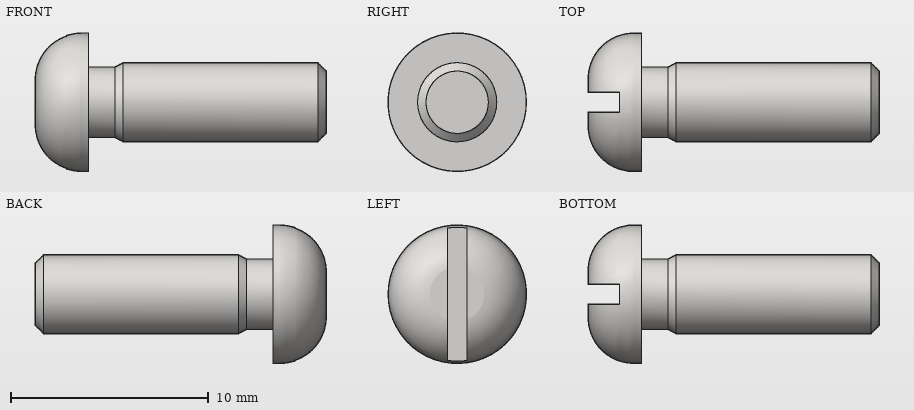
import cadquery as cq
import math

total_length = 14.72
head_diameter = 7.0
head_face_diameter = 2.74
head_height = 2.71
rim_thickness = 0.4
neck_diameter = 3.58
neck_end = 4.05
shank_start = 4.45
shank_diameter = 4.0
tip_chamfer = 0.43
slot_width = 1.0
slot_depth = 1.58

head_radius = head_diameter / 2
face_radius = head_face_diameter / 2
neck_radius = neck_diameter / 2
shank_radius = shank_diameter / 2
dome_height = head_height - rim_thickness

dome_rise = head_radius - face_radius
dome_arc_radius = (dome_height**2 + dome_rise**2) / (2 * dome_rise)
arc_center_radius = head_radius - dome_arc_radius
half_sweep = math.atan2(dome_height, face_radius - arc_center_radius) / 2
dome_midpoint = (
    dome_height - dome_arc_radius * math.sin(half_sweep),
    arc_center_radius + dome_arc_radius * math.cos(half_sweep),
)

body = (
    cq.Workplane("XY")
    .lineTo(0, face_radius)
    .threePointArc(dome_midpoint, (dome_height, head_radius))
    .lineTo(head_height, head_radius)
    .lineTo(head_height, neck_radius)
    .lineTo(neck_end, neck_radius)
    .lineTo(shank_start, shank_radius)
    .lineTo(total_length - tip_chamfer, shank_radius)
    .lineTo(total_length, shank_radius - tip_chamfer)
    .lineTo(total_length, 0)
    .close()
    .revolve(360, (0, 0, 0), (1, 0, 0))
)

slot = cq.Workplane("XY").box(
    slot_depth, slot_width, head_diameter, centered=(False, True, True)
)

result = body.cut(slot)